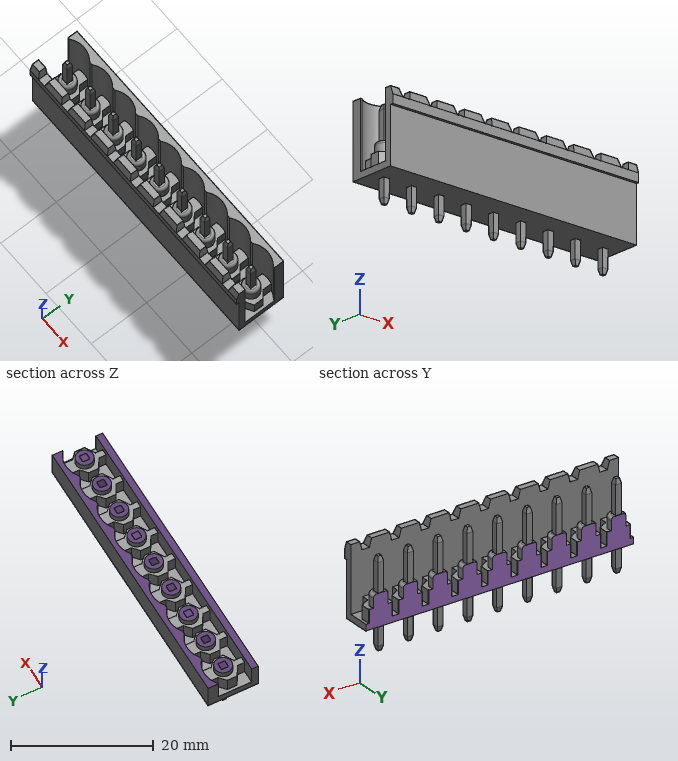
import cadquery as cq


length = 45.7
pin_count = 9
pitch = length / pin_count
pin_positions = [(i - (pin_count - 1) / 2) * pitch for i in range(pin_count)]

housing_height = 12.1
floor_thickness = 1.1
back_face_y = 3.8
back_wall_thickness = 1.65
back_wall_inner_y = back_face_y - back_wall_thickness
front_face_y = -4.25
front_wall_thickness = 1.1
front_wall_inner_y = front_face_y + front_wall_thickness

lip_projection = 0.45
lip_height = 2.85
lip_slope_height = 1.35
lip_face_y = front_face_y - lip_projection

notch_depth = lip_slope_height
notch_top_width = 2.0
notch_bottom_width = 1.3

scallop_depth = 0.82
ridge_width = 0.45
scallop_width = pitch - ridge_width

pad_top_z = 3.3
pad_half_width = 2.05
pad_back_stem_half_width = 1.0
pad_front_stem_half_width = 0.5
pad_back_shoulder_y = 1.35
pad_back_corner_y = 0.45
pad_front_corner_y = -1.1
pad_front_shoulder_y = -2.0

collar_diameter = 2.75
collar_top_z = 5.4
collar_rounding = 0.5

pin_width = 1.0
pin_tip_width = 0.55
pin_taper_length = 0.85
pin_top_z = 11.1
pin_bottom_z = -3.9


def make_trough():
    """Trough section with the front lip, drawn in the YZ plane and extruded along the full length."""
    section = [
        (back_face_y, 0),
        (back_face_y, housing_height),
        (back_wall_inner_y, housing_height),
        (back_wall_inner_y, floor_thickness),
        (front_wall_inner_y, floor_thickness),
        (front_wall_inner_y, housing_height),
        (front_face_y, housing_height),
        (lip_face_y, housing_height - lip_slope_height),
        (lip_face_y, housing_height - lip_height),
        (front_face_y, housing_height - lip_height),
        (front_face_y, 0),
    ]
    return cq.Workplane("YZ").polyline(section).close().extrude(length / 2, both=True)


def make_scallop(x):
    """Circular segment that hollows the back wall behind one pin."""
    return (
        cq.Workplane("XY", origin=(x, back_wall_inner_y, floor_thickness))
        .moveTo(-scallop_width / 2, 0)
        .threePointArc((0, scallop_depth), (scallop_width / 2, 0))
        .close()
        .extrude(housing_height - floor_thickness)
    )


def make_notch(x):
    """Trapezoidal prism that cuts through the top of the front wall in front of one pin."""
    outline = [
        (-notch_bottom_width / 2, -notch_depth),
        (notch_bottom_width / 2, -notch_depth),
        (notch_top_width / 2, 0),
        (-notch_top_width / 2, 0),
    ]
    return (
        cq.Workplane("XZ", origin=(x, front_wall_inner_y, housing_height))
        .polyline(outline)
        .close()
        .extrude(front_wall_thickness + lip_projection)
    )


def make_pad(x):
    """Eight-sided pad with a stem to the back wall and a narrower stem to the front wall."""
    pad_back_y = back_wall_inner_y + scallop_depth
    right_side = [
        (pad_back_stem_half_width, pad_back_y),
        (pad_back_stem_half_width, pad_back_shoulder_y),
        (pad_half_width, pad_back_corner_y),
        (pad_half_width, pad_front_corner_y),
        (pad_front_stem_half_width, pad_front_shoulder_y),
        (pad_front_stem_half_width, front_wall_inner_y),
    ]
    left_side = [(-px, py) for px, py in reversed(right_side)]
    return (
        cq.Workplane("XY", origin=(x, 0, floor_thickness))
        .polyline(right_side + left_side)
        .close()
        .extrude(pad_top_z - floor_thickness)
    )


def make_collar(x):
    """Cylindrical collar with a rounded top edge."""
    return (
        cq.Workplane("XY", origin=(x, 0, pad_top_z))
        .circle(collar_diameter / 2)
        .extrude(collar_top_z - pad_top_z)
        .faces(">Z")
        .edges()
        .fillet(collar_rounding)
    )


def make_pin_hole(x):
    """Square hole for one pin through the floor, the pad and the collar."""
    return cq.Workplane("XY", origin=(x, 0, 0)).rect(pin_width, pin_width).extrude(collar_top_z)


def make_housing():
    body = make_trough()
    for x in pin_positions:
        body = body.cut(make_scallop(x)).cut(make_notch(x))
    for x in pin_positions:
        body = body.union(make_pad(x)).union(make_collar(x)).cut(make_pin_hole(x))
    return body


def make_pin(x):
    """Straight square pin, tapered to a smaller square at both ends."""
    shank_bottom_z = pin_bottom_z + pin_taper_length
    shank_top_z = pin_top_z - pin_taper_length
    shank = (
        cq.Workplane("XY", origin=(x, 0, shank_bottom_z))
        .rect(pin_width, pin_width)
        .extrude(shank_top_z - shank_bottom_z)
    )
    for face in (">Z", "<Z"):
        tip = (
            shank.faces(face)
            .workplane(centerOption="CenterOfMass")
            .rect(pin_width, pin_width)
            .workplane(offset=pin_taper_length)
            .rect(pin_tip_width, pin_tip_width)
            .loft(combine=False)
        )
        shank = shank.union(tip)
    return shank


housing = make_housing()
pins = [make_pin(x) for x in pin_positions]

result = cq.Compound.makeCompound([housing.solids().val(), *[pin.solids().val() for pin in pins]])